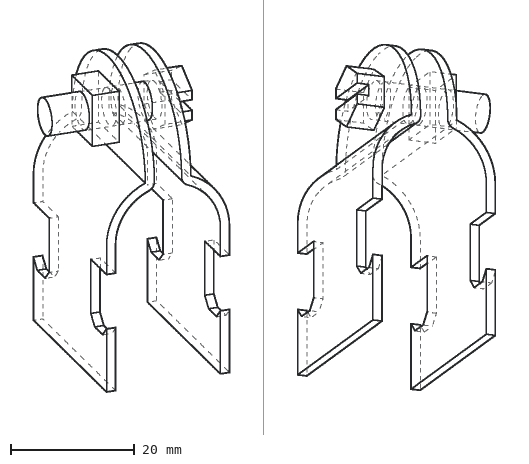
import cadquery as cq
import math

width = 31.75
height = 51.6
sheet = 1.6
half_span = 10.75
half_gap = 2.35
ear_radius = width / 2
ear_base = height - ear_radius
ear_outer = half_gap + sheet

notch_top = 20.7
notch_bottom = 9.45
notch_depth = 6.8
notch_chamfer = 1.7

bolt_height = 42.9
bolt_diameter = 6.35
bolt_tip = 15.1
across_flats = 9.0
head_thickness = 4.8
slot_width = 1.85
slot_depth = 2.05
nut_thickness = 4.65


def make_bent_sheet():
    """Half on the -Y side: straight leg, arched shoulder and upright ear."""
    inner_radius = half_span - sheet
    shoulder_angle = math.acos(ear_outer / half_span)
    shoulder_center = ear_base - half_span * math.sin(shoulder_angle)

    def shoulder_point(radius, angle):
        return -radius * math.cos(angle), shoulder_center + radius * math.sin(angle)

    bend_middle = shoulder_angle / 2
    bend_point = (
        -ear_outer + sheet * math.cos(bend_middle),
        ear_base - sheet * math.sin(bend_middle),
    )
    return (
        cq.Workplane("YZ")
        .moveTo(-half_span, 0)
        .lineTo(-half_span, shoulder_center)
        .threePointArc(shoulder_point(half_span, shoulder_angle / 2), (-ear_outer, ear_base))
        .lineTo(-ear_outer, height)
        .lineTo(-half_gap, height)
        .lineTo(-half_gap, ear_base)
        .threePointArc(bend_point, shoulder_point(inner_radius, shoulder_angle))
        .threePointArc(
            shoulder_point(inner_radius, shoulder_angle / 2), (-inner_radius, shoulder_center)
        )
        .lineTo(-inner_radius, 0)
        .close()
        .extrude(width / 2, both=True)
    )


def make_front_outline():
    """Round-topped blank that trims the bent sheet."""
    return (
        cq.Workplane("XZ")
        .moveTo(-width / 2, 0)
        .lineTo(-width / 2, ear_base)
        .threePointArc((0, height), (width / 2, ear_base))
        .lineTo(width / 2, 0)
        .close()
        .extrude(half_span, both=True)
    )


def make_notch(side):
    """Notch cutter with two chamfered lower corners; side is -1 or 1."""
    outer = side * width / 2
    inner = outer - side * notch_depth
    chamfer_top = notch_bottom + notch_chamfer
    return (
        cq.Workplane("XZ")
        .polyline([
            (outer, notch_top),
            (inner, notch_top),
            (inner, chamfer_top),
            (inner + side * notch_chamfer, notch_bottom),
            (outer - side * notch_chamfer, notch_bottom),
            (outer, chamfer_top),
        ])
        .close()
        .extrude(half_span, both=True)
    )


def bolt_plane(y):
    """Plane centred on the bolt axis at y, with its normal toward -Y."""
    return cq.Workplane("XZ", origin=(0, y, bolt_height))


def make_clamp_half(side):
    """Clamp half on the -Y or +Y side; side is -1 or 1."""
    half = make_bent_sheet().intersect(make_front_outline())
    for notch_side in (-1, 1):
        half = half.cut(make_notch(notch_side))
    bolt_hole = bolt_plane(0).circle(bolt_diameter / 2).extrude(half_span)
    half = half.cut(bolt_hole)
    if side > 0:
        half = half.mirror("XZ")
    return half


def make_bolt():
    """Hexagon-head bolt with a screwdriver slot across the head."""
    head_top = ear_outer + head_thickness
    across_corners = across_flats / math.cos(math.pi / 6)
    head = (
        bolt_plane(head_top)
        .transformed(rotate=(0, 0, 90))
        .polygon(6, across_corners)
        .extrude(head_thickness)
    )
    slot = bolt_plane(head_top).rect(across_corners, slot_width).extrude(slot_depth)
    shank = bolt_plane(ear_outer).circle(bolt_diameter / 2).extrude(ear_outer + bolt_tip)
    return head.cut(slot).union(shank)


def make_nut():
    """Square nut seated on the -Y ear."""
    return (
        bolt_plane(-ear_outer)
        .rect(across_flats, across_flats)
        .circle(bolt_diameter / 2)
        .extrude(nut_thickness)
    )


clamp_halves = [make_clamp_half(side) for side in (-1, 1)]
bolt = make_bolt()
nut = make_nut()

result = cq.Compound.makeCompound([*(half.val() for half in clamp_halves), bolt.val(), nut.val()])